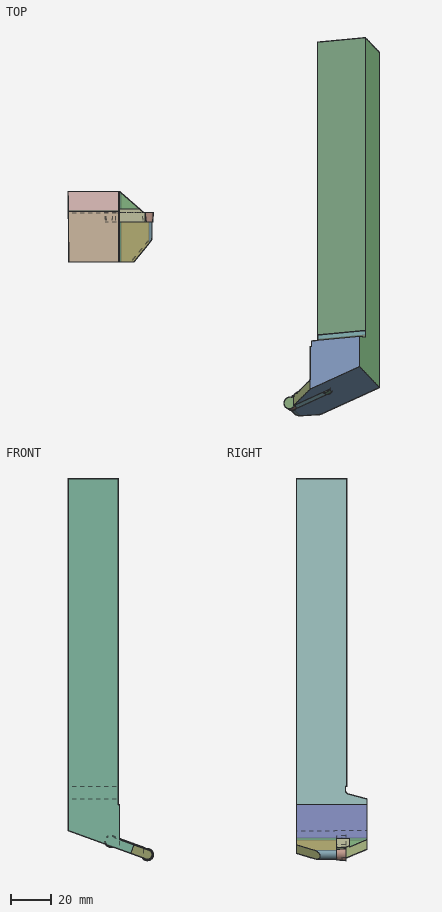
import cadquery as cq
import math

height = 190.0
shank_width = 25.0
shank_depth = 25.0
head_width = 25.7
head_depth = 35.2
head_step_z = 28.0
side_taper = 0.4
relief_y = 24.5
relief_top_z = 37.0
shoulder_z = 30.8
shoulder_angle = 15.0
shoulder_fillet = 1.5
wall_fillet = 1.1

blade_angle = 20.0
blade_half = 2.3
strip_half = 2.9
strip_end_x = 38.4
strip_back_y = 26.5
blade_chamfer_length = 10.3
blade_chamfer_y = 11.8
blade_corner_x = 37.6

insert_seat_y = 20.0
insert_face_y = 24.7
insert_radius = 3.0
insert_relief = 0.4
end_spacing = 19.4
total_width = 42.5

tip_x = total_width - insert_radius
tip_z = insert_radius
rear_x = tip_x - end_spacing * math.cos(math.radians(blade_angle))
rear_z = tip_z + end_spacing * math.sin(math.radians(blade_angle))
blade_end_x = tip_x + blade_half
insert_thickness = insert_face_y - insert_seat_y


def blade_z(x, offset):
    """Height at x of the line parallel to the blade axis, offset at right angles to it."""
    angle = math.radians(blade_angle)
    return tip_z + (tip_x - x) * math.tan(angle) + offset / math.cos(angle)


def prism_along_y(points, y_start, y_end):
    plane = cq.Workplane("XZ", origin=(0, y_start, 0))
    return plane.polyline(points).close().extrude(y_start - y_end)


def capsule(x_start, z_start, radius, y_start, y_end):
    """Bar along the blade axis with a round end centred on the tip."""
    angle = math.radians(blade_angle)
    dx = radius * math.sin(angle)
    dz = radius * math.cos(angle)
    plane = cq.Workplane("XZ", origin=(0, y_start, 0))
    return (
        plane.moveTo(x_start - dx, z_start - dz)
        .lineTo(tip_x - dx, tip_z - dz)
        .threePointArc((tip_x + dz, tip_z - dx), (tip_x + dx, tip_z + dz))
        .lineTo(x_start + dx, z_start + dz)
        .close()
        .extrude(y_start - y_end)
    )


def insert_end(x, z):
    """Round cutting end, tapering away from the cutting face for clearance."""
    return cq.Workplane(
        cq.Solid.makeCone(
            insert_radius - insert_relief,
            insert_radius,
            insert_thickness,
            pnt=cq.Vector(x, insert_seat_y, z),
            dir=cq.Vector(0, 1, 0),
        )
    )


def make_insert():
    body = capsule(rear_x, rear_z, blade_half, insert_seat_y, insert_face_y)
    for x, z in ((rear_x, rear_z), (tip_x, tip_z)):
        body = body.union(insert_end(x, z))
    return body


def side_envelope():
    """Side outline: shank, relief groove, sloping shoulder and deeper head."""
    shoulder_rise = (head_depth - relief_y) * math.tan(math.radians(shoulder_angle))
    shoulder_root_z = shoulder_z + shoulder_rise
    outline = [
        (0, 0),
        (head_depth, 0),
        (head_depth, shoulder_z),
        (relief_y, shoulder_root_z),
        (relief_y, relief_top_z),
        (shank_depth, relief_top_z),
        (shank_depth, height),
        (0, height),
    ]
    body = cq.Workplane("YZ").polyline(outline).close().extrude(total_width)
    root = cq.selectors.NearestToPointSelector((total_width / 2, relief_y, shoulder_root_z))
    return body.edges(root).fillet(shoulder_fillet)


def plan_envelope():
    """Plan outline: slightly tapered -X side, slanted blade back and insert clearance."""
    outline = [
        (side_taper, 0),
        (blade_end_x, 0),
        (blade_end_x, insert_seat_y),
        (strip_end_x, insert_seat_y),
        (strip_end_x, insert_face_y),
        (blade_corner_x, insert_face_y),
        (head_width, head_depth),
        (0, head_depth),
    ]
    return cq.Workplane("XY").polyline(outline).close().extrude(height)


def blade_chamfer():
    """Wedge that cuts the front corner of the blade square to the blade's faces."""
    wedge_half = 2 * blade_half
    start = blade_half - blade_chamfer_length
    return (
        cq.Workplane("XY")
        .polyline([(start, 0), (blade_half, 0), (blade_half, blade_chamfer_y)])
        .close()
        .extrude(wedge_half, both=True)
        .rotate((0, 0, 0), (0, 1, 0), blade_angle)
        .translate((tip_x, 0, tip_z))
    )


def make_holder():
    head = prism_along_y(
        [
            (0, blade_z(0, -blade_half)),
            (head_width, blade_z(head_width, -blade_half)),
            (head_width, head_step_z),
            (shank_width, head_step_z),
            (shank_width, height),
            (0, height),
        ],
        0,
        head_depth,
    )
    blade_start_x = shank_width / 2
    body = head.union(capsule(blade_start_x, blade_z(blade_start_x, 0), blade_half, 0, head_depth))
    blade_top_z = blade_z(head_width, blade_half)
    corner = cq.selectors.NearestToPointSelector((head_width, head_depth / 2, blade_top_z))
    body = body.edges(corner).fillet(wall_fillet)

    strip = prism_along_y(
        [
            (blade_start_x, blade_z(blade_start_x, 0)),
            (strip_end_x, blade_z(strip_end_x, 0)),
            (strip_end_x, blade_z(strip_end_x, strip_half)),
            (blade_start_x, blade_z(blade_start_x, strip_half)),
        ],
        insert_seat_y,
        strip_back_y,
    )
    body = body.union(strip).cut(blade_chamfer())
    return body.intersect(side_envelope()).intersect(plan_envelope())


insert = make_insert()
holder = make_holder().cut(insert)

result = cq.Compound.makeCompound([*holder.solids().vals(), *insert.solids().vals()])